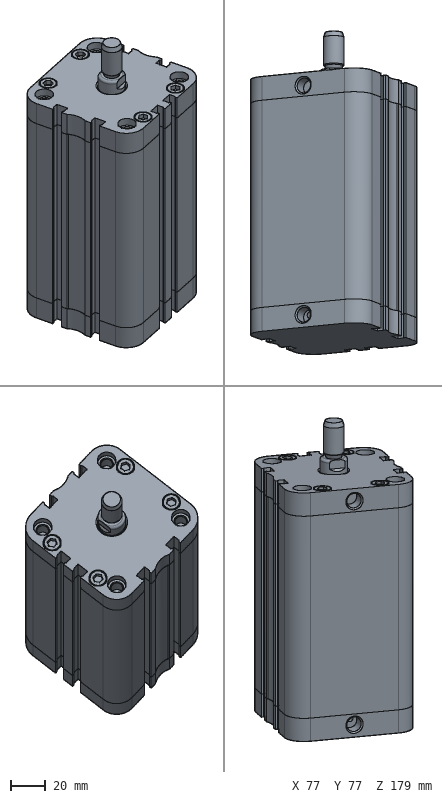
import cadquery as cq
import math

BODY_WIDTH = 77.0
TOTAL_HEIGHT = 179.0
BODY_HEIGHT = 149.1
CAP_HEIGHT = 14.0
CORNER_RADIUS = 11.8
HALF = BODY_WIDTH / 2
BARREL_HEIGHT = BODY_HEIGHT - 2 * CAP_HEIGHT
TOP_CAP_BASE = BODY_HEIGHT - CAP_HEIGHT
CUT_MARGIN = 1.8

SLOT_MOUTH = 5.9
SLOT_WIDTH = 7.2
SLOT_DEPTH = 5.5
SLOT_LIP = 1.3
SLOT_OFFSET = 12.9
SIDE_SLOT_OFFSET = 6.5

SCALLOP_WIDTH = 12.4
SCALLOP_EDGE = 0.5
SCALLOP_EDGE_DEPTH = 0.7
SCALLOP_DEPTH = 1.6

MOUNT_OFFSET = 28.1
MOUNT_BORE = 10.5
MOUNT_BORE_DEPTH = 4.7
MOUNT_SINK = 7.7
MOUNT_THREAD = 6.6
MOUNT_THREAD_DEPTH = 9.0

SCREW_X = 32.2
SCREW_Y = 17.4
SCREW_RECESS = 10.4
SCREW_HEAD = 9.3
SCREW_GROOVE_DEPTH = 1.8
HEX_FLATS = 5.0
HEX_DEPTH = 2.7

PORT_MOUTH = 10.4
PORT_BORE = 8.6
PORT_DEPTH = 9.0
PORT_INSET = 7.5
AIR_PASSAGE = 4.0
AIR_PASSAGE_INSET = 8.8
AIR_PASSAGE_DEPTH = 3.5

ROD_COLLAR = 16.0
ROD_THREAD = 12.0
ROD_TIP = 10.0
ROD_NECK_TOP = 10.5
ROD_NECK = 9.1
TIP_CHAMFER_END = 2.9
THREAD_END = 19.0
NECK_TOP = 19.5
COLLAR_TOP = 21.8
COLLAR_ROUND = 1.6
FLAT_END = 27.0
ROD_FLATS = 13.0
SEAL_MOUTH = 18.0
SEAL_FOOT = 16.5
SEAL_DEPTH = 0.9


def slot_cutter():
    """Slot through the whole height, open towards -Y, with its mouth at the -Y face."""
    mouth = SLOT_MOUTH / 2
    inner = SLOT_WIDTH / 2
    lip_end = SLOT_LIP + inner - mouth
    right_side = [(mouth, -CUT_MARGIN), (mouth, SLOT_LIP), (inner, lip_end), (inner, SLOT_DEPTH)]
    left_side = [(-x, y) for x, y in reversed(right_side)]
    slot = cq.Workplane("XY").polyline(right_side + left_side).close().extrude(BODY_HEIGHT)
    return slot.translate((0, -HALF, 0))


def scallop_cutter(edge_width, edge_depth):
    """Shallow arc channel along the middle of the -Y face, between two sloping walls."""
    edge = SCALLOP_WIDTH / 2
    inner = edge - edge_width
    channel = cq.Workplane("XY").moveTo(-inner, edge_depth)
    channel = channel.threePointArc((0, SCALLOP_DEPTH), (inner, edge_depth))
    if edge_width > 0:
        channel = channel.lineTo(edge, 0).lineTo(edge, -CUT_MARGIN)
        channel = channel.lineTo(-edge, -CUT_MARGIN).lineTo(-edge, 0)
    channel = channel.close().extrude(BODY_HEIGHT)
    return channel.translate((0, -HALF, 0))


def full_profile(edge_width, edge_depth):
    """Slotted outline over the whole height, with the given walls at the scallop edges."""
    profile = (
        cq.Workplane("XY")
        .rect(BODY_WIDTH, BODY_WIDTH)
        .extrude(BODY_HEIGHT)
        .edges("|Z")
        .fillet(CORNER_RADIUS)
    )
    face_layout = [
        (0, (-SLOT_OFFSET, SLOT_OFFSET)),
        (90, (-SIDE_SLOT_OFFSET, SIDE_SLOT_OFFSET)),
        (180, (-SLOT_OFFSET, SLOT_OFFSET)),
    ]
    for angle, offsets in face_layout:
        for offset in offsets:
            slot = slot_cutter().translate((offset, 0, 0))
            profile = profile.cut(slot.rotate((0, 0, 0), (0, 0, 1), angle))
    scallop = scallop_cutter(edge_width, edge_depth)
    for angle in (0, 180):
        profile = profile.cut(scallop.rotate((0, 0, 0), (0, 0, 1), angle))
    return profile


def slice_of_profile(base, height, edge_width=0, edge_depth=0):
    """Part of the outline between two heights."""
    slab = cq.Workplane("XY").workplane(offset=base).rect(BODY_WIDTH, BODY_WIDTH).extrude(height)
    return full_profile(edge_width, edge_depth).intersect(slab)


def mount_hole_cutter():
    """Counterbored, countersunk hole going down from the origin."""
    bore = MOUNT_BORE / 2
    sink = MOUNT_SINK / 2
    thread = MOUNT_THREAD / 2
    sink_end = MOUNT_BORE_DEPTH + sink - thread
    outline = [
        (0, 0),
        (bore, 0),
        (bore, -MOUNT_BORE_DEPTH),
        (sink, -MOUNT_BORE_DEPTH),
        (thread, -sink_end),
        (thread, -MOUNT_BORE_DEPTH - MOUNT_THREAD_DEPTH),
        (0, -MOUNT_BORE_DEPTH - MOUNT_THREAD_DEPTH),
    ]
    return cq.Workplane("XZ").polyline(outline).close().revolve(360, (0, 0, 0), (0, 1, 0))


def screw_cutter(corner_angle):
    """Ring groove and hex socket of a screw, going down from the origin."""
    groove = (
        cq.Workplane("XY").circle(SCREW_RECESS / 2).circle(SCREW_HEAD / 2).extrude(-SCREW_GROOVE_DEPTH)
    )
    hex_corners = HEX_FLATS / math.cos(math.pi / 6)
    socket = cq.Workplane("XY").polygon(6, hex_corners).extrude(-HEX_DEPTH)
    return groove.union(socket.rotate((0, 0, 0), (0, 0, 1), corner_angle))


def port_cutter():
    """Countersunk port going in from the -X face at height zero."""
    mouth = PORT_MOUTH / 2
    bore = PORT_BORE / 2
    outline = [(0, 0), (0, mouth), (mouth - bore, bore), (PORT_DEPTH, bore), (PORT_DEPTH, 0)]
    port = cq.Workplane("XZ").polyline(outline).close().revolve(360, (0, 0, 0), (1, 0, 0))
    return port.translate((-HALF, 0, 0))


def rod_bore_cutter():
    """Flared passage for the rod through the top cap."""
    foot = SEAL_FOOT / 2
    collar = ROD_COLLAR / 2
    outline = [
        (0, BODY_HEIGHT),
        (SEAL_MOUTH / 2, BODY_HEIGHT),
        (foot, BODY_HEIGHT - SEAL_DEPTH),
        (collar, BODY_HEIGHT - SEAL_DEPTH),
        (collar, TOP_CAP_BASE),
        (0, TOP_CAP_BASE),
    ]
    return cq.Workplane("XZ").polyline(outline).close().revolve(360, (0, 0, 0), (0, 1, 0))


def make_barrel():
    """Slotted middle length, with stepped scallop edges."""
    return slice_of_profile(CAP_HEIGHT, BARREL_HEIGHT, SCALLOP_EDGE, SCALLOP_EDGE_DEPTH)


def make_bottom_cap():
    """End cap with a port and the small air passage behind it."""
    cap = slice_of_profile(0, CAP_HEIGHT).cut(port_cutter().translate((0, 0, PORT_INSET)))
    passage = (
        cq.Workplane("YZ")
        .workplane(offset=PORT_DEPTH - HALF)
        .center(0, AIR_PASSAGE_INSET)
        .circle(AIR_PASSAGE / 2)
        .extrude(AIR_PASSAGE_DEPTH)
    )
    return cap.cut(passage)


def make_top_cap():
    """End cap with mounting holes, screws, a port and the rod passage."""
    cap = slice_of_profile(TOP_CAP_BASE, CAP_HEIGHT)
    for side_x in (-1, 1):
        corner_angle = 90 if side_x < 0 else 0
        for side_y in (-1, 1):
            mount_place = (side_x * MOUNT_OFFSET, side_y * MOUNT_OFFSET, BODY_HEIGHT)
            cap = cap.cut(mount_hole_cutter().translate(mount_place))
            screw_place = (side_x * SCREW_X, side_y * SCREW_Y, BODY_HEIGHT)
            cap = cap.cut(screw_cutter(corner_angle).translate(screw_place))
    cap = cap.cut(port_cutter().translate((0, 0, BODY_HEIGHT - PORT_INSET)))
    return cap.cut(rod_bore_cutter())


def flat_cutter():
    """Material outside the +X wrench flat, with a 45 degree run-out at its foot."""
    flat = ROD_FLATS / 2
    run_out = ROD_COLLAR / 2 - flat
    flat_foot = TOTAL_HEIGHT - FLAT_END
    flat_top = TOTAL_HEIGHT - COLLAR_TOP
    outline = [
        (flat, flat_top),
        (flat, flat_foot),
        (flat + run_out, flat_foot - run_out),
        (flat + run_out, flat_top),
    ]
    return cq.Workplane("XZ").polyline(outline).close().extrude(ROD_COLLAR / 2, both=True)


def make_rod():
    """Threaded stud on a rounded collar with two wrench flats."""
    foot_depth = TOTAL_HEIGHT - TOP_CAP_BASE
    upper_steps = [
        (0, 0),
        (ROD_TIP, 0),
        (ROD_THREAD, TIP_CHAMFER_END),
        (ROD_THREAD, THREAD_END),
        (ROD_NECK_TOP, NECK_TOP),
        (ROD_NECK, COLLAR_TOP),
        (0, COLLAR_TOP),
    ]
    outline = [(diameter / 2, TOTAL_HEIGHT - depth) for diameter, depth in upper_steps]
    stud = cq.Workplane("XZ").polyline(outline).close().revolve(360, (0, 0, 0), (0, 1, 0))
    collar = (
        cq.Workplane("XY")
        .workplane(offset=TOP_CAP_BASE)
        .circle(ROD_COLLAR / 2)
        .extrude(foot_depth - COLLAR_TOP)
        .faces(">Z")
        .edges()
        .fillet(COLLAR_ROUND)
    )
    rod = collar.union(stud)
    for angle in (0, 180):
        rod = rod.cut(flat_cutter().rotate((0, 0, 0), (0, 0, 1), angle))
    return rod


barrel = make_barrel()
bottom_cap = make_bottom_cap()
top_cap = make_top_cap()
rod = make_rod()

result = cq.Compound.makeCompound([barrel.val(), bottom_cap.val(), top_cap.val(), rod.val()])